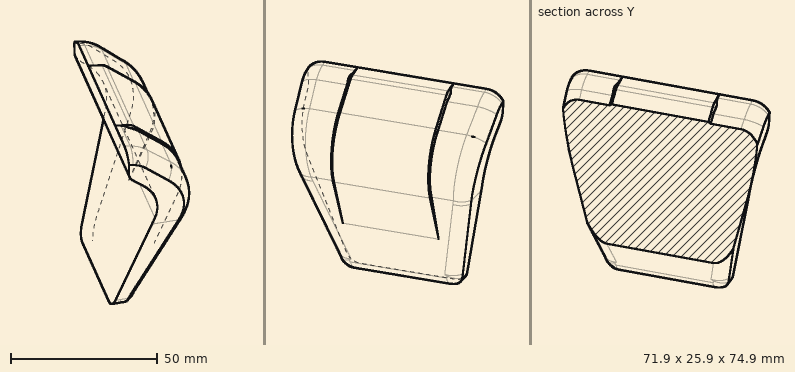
import cadquery as cq
import math

HEIGHT = 74.9
TOP_WIDTH = 71.95
TOP_WIDTH_Z = 72.0

TAPER_LEAN = math.radians(14.07)
SIDE_ARC_CENTER_Z = 78.0
SIDE_ARC_RADIUS = 152.0
BOTTOM_CORNER_RADIUS = 5.0

FRONT_LEAN = math.radians(15.6)
LIP_SLOPE = math.radians(40.6)
FRONT_BOTTOM_Y = -2.17
FRONT_BEND_RADIUS = 16.5
LIP_CORNER_Z = 65.3
LIP_CORNER_RADIUS = 4.3

PAD_LEAN = math.radians(23.15)
PAD_BEND_Y = 27.97
PAD_BEND_Z = 55.05
PAD_BEND_RADIUS = 20.6
PAD_TOP_SLOPE = math.radians(9.0)
PAD_LIP_RADIUS = 3.5
PAD_LOW_Z = 20.0
PAD_BASE_WIDTH = 37.2
PAD_TOP_WIDTH = 35.2

BACK_LEAN = math.radians(22.35)
BACK_INSET = 0.5
LIP_INSET = 0.4
BACK_BEND_RADIUS = PAD_BEND_RADIUS - BACK_INSET
BACK_TOP_SLOPE = math.radians(11.0)
BACK_LIP_RADIUS = 13.0

EDGE_RADIUS = 7.2
SIDE_OUTSET = 1.2
BOTTOM_OUTSET = 0.2

REACH = 60.0
CENTER_TOLERANCE = 0.1


def round_bend(solid, y, z, radius):
    """Fillet the X-parallel edge that runs through (y, z)."""
    return solid.edges(cq.NearestToPointSelector((0, y, z))).fillet(radius)


def back_limit(bend_y, bend_z, lean, top_slope, bend_radius, lip_radius, width):
    """Solid bounded at the rear by a bent back that folds over the top of the lip."""
    lip_rise = math.tan(LIP_SLOPE)
    top_rise = math.tan(top_slope)
    lip_y = (bend_z + bend_y * lip_rise - HEIGHT) / (lip_rise - top_rise)
    lip_z = HEIGHT - lip_y * top_rise
    low_z = -REACH / 2
    low_y = bend_y - (bend_z - low_z) * math.tan(lean)
    front_z = HEIGHT + REACH * top_rise
    solid = (
        cq.Workplane("YZ")
        .polyline([
            (-REACH, low_z),
            (low_y, low_z),
            (bend_y, bend_z),
            (lip_y, lip_z),
            (-REACH, front_z),
        ])
        .close()
        .extrude(width / 2, both=True)
    )
    solid = round_bend(solid, bend_y, bend_z, bend_radius)
    return round_bend(solid, lip_y, lip_z, lip_radius)


def tapered_plate(side_outset=0.0, bottom_outset=0.0):
    """Outline across X and Z, optionally grown at the sides and bottom, run through in Y."""
    side_normal = cq.Vector(math.cos(TAPER_LEAN), -math.sin(TAPER_LEAN))
    side_radius = SIDE_ARC_RADIUS + side_outset
    corner_radius = BOTTOM_CORNER_RADIUS + side_outset

    arc_rise = SIDE_ARC_CENTER_Z - TOP_WIDTH_Z
    side_center_x = TOP_WIDTH / 2 - math.sqrt(SIDE_ARC_RADIUS**2 - arc_rise**2)
    side_center = cq.Vector(side_center_x, SIDE_ARC_CENTER_Z)
    taper_end = side_center + side_normal * side_radius
    widest_x = side_center.x + side_radius

    corner_z = corner_radius - bottom_outset
    corner_reach = taper_end.dot(side_normal) - corner_radius
    corner_x = (corner_reach - corner_z * side_normal.y) / side_normal.x
    taper_start = cq.Vector(corner_x, corner_z) + side_normal * corner_radius

    half = (
        cq.Workplane("XZ")
        .moveTo(0, -bottom_outset)
        .lineTo(corner_x, -bottom_outset)
        .tangentArcPoint((taper_start.x, taper_start.y), relative=False)
        .lineTo(taper_end.x, taper_end.y)
        .tangentArcPoint((widest_x, SIDE_ARC_CENTER_Z), relative=False)
        .lineTo(widest_x, HEIGHT + REACH)
        .lineTo(0, HEIGHT + REACH)
        .close()
        .extrude(REACH, both=True)
    )
    return half.union(half.mirror("YZ")).clean()


def front_limit():
    """Solid bounded at the front by the bent front surface."""
    lean_rise = math.tan(FRONT_LEAN)
    lip_rise = math.tan(LIP_SLOPE)
    bend_z = (LIP_CORNER_Z - FRONT_BOTTOM_Y * lip_rise) / (1 + lean_rise * lip_rise)
    bend_y = FRONT_BOTTOM_Y + bend_z * lean_rise
    solid = (
        cq.Workplane("YZ")
        .polyline([
            (FRONT_BOTTOM_Y, 0),
            (bend_y, bend_z),
            (0, LIP_CORNER_Z),
            (0, HEIGHT),
            (REACH, HEIGHT),
            (REACH, 0),
        ])
        .close()
        .extrude(REACH, both=True)
    )
    solid = round_bend(solid, bend_y, bend_z, FRONT_BEND_RADIUS)
    return round_bend(solid, 0, LIP_CORNER_Z, LIP_CORNER_RADIUS)


def rounded_plate():
    """Oversized plate with the plain back, rounded along its side and bottom edges."""
    turn_sine = math.cos(LIP_SLOPE - BACK_LEAN)
    shift_y = (BACK_INSET * math.cos(LIP_SLOPE) + LIP_INSET * math.sin(BACK_LEAN)) / turn_sine
    shift_z = (LIP_INSET * math.cos(BACK_LEAN) - BACK_INSET * math.sin(LIP_SLOPE)) / turn_sine
    back = back_limit(
        PAD_BEND_Y - shift_y, PAD_BEND_Z - shift_z, BACK_LEAN, BACK_TOP_SLOPE,
        BACK_BEND_RADIUS, BACK_LIP_RADIUS, 2 * REACH,
    )
    blank = tapered_plate(SIDE_OUTSET, BOTTOM_OUTSET).intersect(back)
    rim = []
    for edge in blank.edges("not |Y").vals():
        middle = edge.Center()
        on_front = middle.y < -REACH / 2
        across_back = abs(middle.x) < CENTER_TOLERANCE and middle.z > 0
        if not on_front and not across_back:
            rim.append(edge)
    return blank.newObject(rim).fillet(EDGE_RADIUS)


def pad():
    """Raised middle of the back with bevelled sides."""
    solid = back_limit(
        PAD_BEND_Y, PAD_BEND_Z, PAD_LEAN, PAD_TOP_SLOPE,
        PAD_BEND_RADIUS, PAD_LIP_RADIUS, PAD_BASE_WIDTH,
    )
    bevel = (PAD_BASE_WIDTH - PAD_TOP_WIDTH) / 2
    half_space = (
        cq.Workplane("YZ")
        .rect(4 * REACH, 6 * REACH)
        .extrude(PAD_BASE_WIDTH)
    )
    half = solid.intersect(half_space)
    side_rim = half.faces(">X").edges("not (<Y or <Z)")
    half = side_rim.chamfer(BACK_INSET, bevel)
    solid = half.union(half.mirror("YZ"))
    upper = (
        cq.Workplane("XY")
        .workplane(offset=PAD_LOW_Z)
        .rect(2 * REACH, 2 * REACH)
        .extrude(2 * REACH)
    )
    return solid.intersect(upper)


result = rounded_plate().union(pad()).intersect(tapered_plate()).intersect(front_limit())